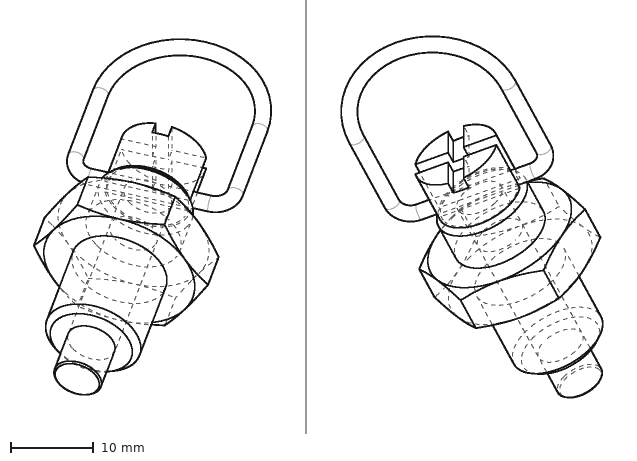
import cadquery as cq
import math


pin_diameter = 6.0
pin_tip_chamfer = 0.2

sleeve_start = 6.0
sleeve_diameter = 12.0
sleeve_chamfer = 0.8
collar_start = 18.0
collar_length = 6.0
collar_across_flats = 19.0
collar_corner_drop = 0.7
collar_across_corners = collar_across_flats * 2 / math.sqrt(3)
collar_end = collar_start + collar_length

overall_length = 55
ring_width = 22
wire_diameter = 2.0
ring_bend_radius = 2.5
crossbar_y = 31.0
arch_radius = (ring_width - wire_diameter) / 2
arch_center_y = overall_length - ring_width / 2

knob_diameter = 10.9
knob_start = crossbar_y - wire_diameter / 2
knob_end = 37.0
driver_slot_width = 2.05
driver_slot_depth = 1.55
ring_slot_width = wire_diameter

shank_start = collar_end


def cylinder_along_y(diameter, start, end):
    """Cylinder on the Y axis between two Y positions."""
    plane = cq.Workplane("XZ", origin=(0, start, 0))
    return plane.circle(diameter / 2).extrude(start - end)


def make_pin():
    pin = cylinder_along_y(pin_diameter, 0, shank_start)
    return pin.faces("<Y").chamfer(pin_tip_chamfer)


def make_collar():
    """Hexagon with corners on the X axis, chamfered at both ends by a turned profile."""
    hexagon = (
        cq.Workplane("XZ", origin=(0, collar_start, 0))
        .polygon(6, collar_across_corners)
        .extrude(-collar_length)
    )
    face_radius = collar_across_flats / 2
    corner_radius = collar_across_corners / 2
    turned_envelope = (
        cq.Workplane("XY")
        .moveTo(0, collar_start)
        .lineTo(face_radius, collar_start)
        .lineTo(corner_radius, collar_start + collar_corner_drop)
        .lineTo(corner_radius, collar_end - collar_corner_drop)
        .lineTo(face_radius, collar_end)
        .lineTo(0, collar_end)
        .close()
        .revolve(360, (0, 0, 0), (0, 1, 0))
    )
    return hexagon.intersect(turned_envelope)


def make_sleeve():
    barrel = cylinder_along_y(sleeve_diameter, sleeve_start, knob_start)
    barrel = barrel.faces("<Y or >Y").chamfer(sleeve_chamfer)
    bore = cylinder_along_y(pin_diameter, sleeve_start, knob_start)
    return barrel.union(make_collar()).cut(bore)


def make_knob():
    """Slotted head on a shank that joins the two halves below the ring slot."""
    head = cylinder_along_y(knob_diameter, knob_start, knob_end)
    shank = cylinder_along_y(pin_diameter, shank_start, knob_start)
    ring_slot = (
        cq.Workplane("XY")
        .box(knob_diameter, knob_end - knob_start, ring_slot_width, centered=(True, False, True))
        .translate((0, knob_start, 0))
    )
    driver_slot = (
        cq.Workplane("XY")
        .box(driver_slot_width, driver_slot_depth, knob_diameter, centered=(True, False, True))
        .translate((0, knob_end - driver_slot_depth, 0))
    )
    return head.union(shank).cut(ring_slot).cut(driver_slot)


def make_ring():
    bend_center_x = arch_radius - ring_bend_radius
    bend_center_y = crossbar_y + ring_bend_radius
    bend_mid_x = bend_center_x + ring_bend_radius * math.sqrt(0.5)
    bend_mid_y = bend_center_y - ring_bend_radius * math.sqrt(0.5)
    wire_path = (
        cq.Workplane("XY")
        .moveTo(0, crossbar_y)
        .lineTo(bend_center_x, crossbar_y)
        .threePointArc((bend_mid_x, bend_mid_y), (arch_radius, bend_center_y))
        .lineTo(arch_radius, arch_center_y)
        .threePointArc((0, arch_center_y + arch_radius), (-arch_radius, arch_center_y))
        .lineTo(-arch_radius, bend_center_y)
        .threePointArc((-bend_mid_x, bend_mid_y), (-bend_center_x, crossbar_y))
        .close()
    )
    wire_section = cq.Workplane("YZ", origin=(0, crossbar_y, 0)).circle(wire_diameter / 2)
    return wire_section.sweep(wire_path)


pin = make_pin()
sleeve = make_sleeve()
knob = make_knob()
ring = make_ring()

bodies = [body.solids().val() for body in (pin, sleeve, knob, ring)]
result = cq.Compound.makeCompound(bodies)